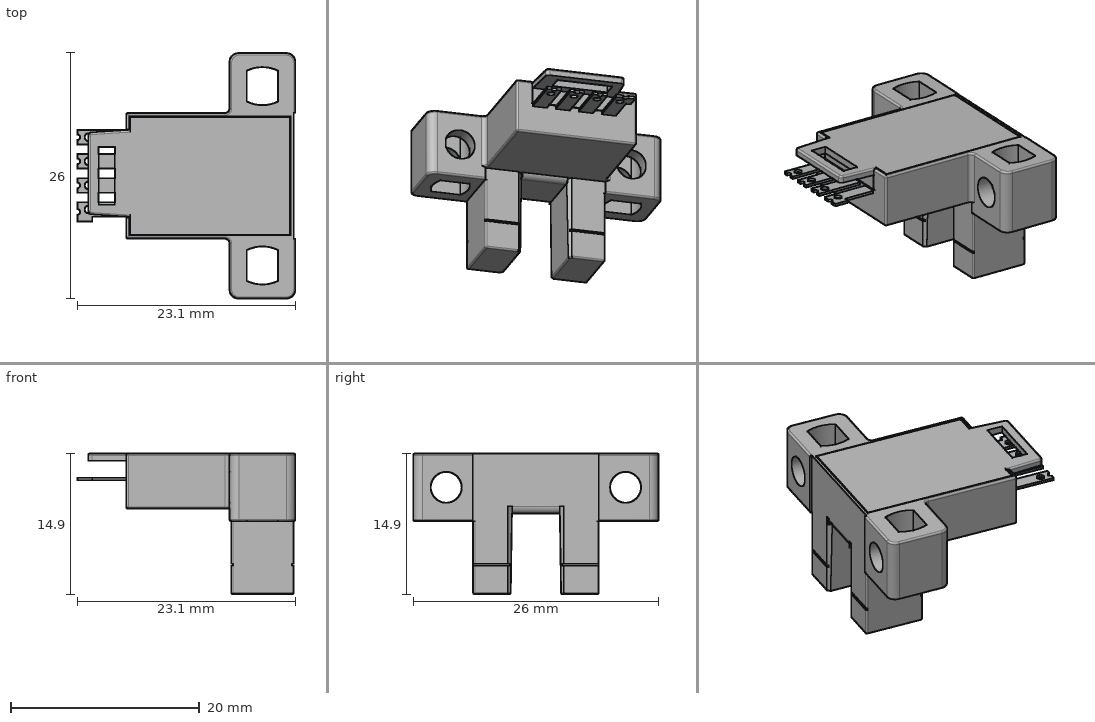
import cadquery as cq
import math


total_length = 23.1
total_width = 26.0
total_height = 14.9
edge_radius = 0.2

ear_length = 7.0
ear_height = 7.18
ear_corner_radius = 1.0
ear_start_x = total_length - ear_length
ear_center_x = total_length - ear_length / 2

body_start_x = 5.17
body_half_width = 6.65
body_height = 5.85
body_ear_fillet = 0.5
body_ear_overlap = 0.52

hole_center_y = 9.5
hole_width = 3.28
hole_length = 4.0
hole_flat_length = 3.25
cross_hole_diameter = 3.25

leg_inset = 0.18
leg_start_x = ear_start_x + leg_inset
leg_end_x = total_length - leg_inset
leg_length = leg_end_x - leg_start_x
leg_edge_radius = 0.18
slot_ceiling_z = -6.37
slot_half_width_top = 2.52
slot_half_width_bottom = 2.65
slot_mouth_half_width = 2.96
slot_ceiling_radius = 0.75
leg_groove_z = -11.78
leg_groove_width = 0.18
leg_groove_depth = leg_edge_radius

cover_start_x = 5.6
cover_end_x = 22.5
cover_half_width = 6.21
cover_thickness = 0.78
cover_gap = 0.08
tongue_height = 2.42
tongue_half_width = 4.6

row_center_y = 0.25
tab_start_x = 1.15
tab_tip_half_width = 4.32
tab_corner_radius = 0.4
window_start_x = 2.25
window_length = 1.72
window_width = 6.08

terminal_count = 4
terminal_pitch = 2.55
terminal_width = 1.55
terminal_top_z = -2.57
terminal_thickness = 0.29
terminal_embed = 0.52
terminal_hole_x = 1.2
terminal_hole_diameter = 0.8
tip_notch_radius = 0.29
flag_length = 1.59
flag_width = 0.52

pick_margin = 0.25


def box(x_min, x_max, y_min, y_max, z_min, z_max):
    size = (x_max - x_min, y_max - y_min, z_max - z_min)
    return cq.Workplane("XY").box(*size, centered=False).translate((x_min, y_min, z_min))


def make_body():
    """Main body; its sides flare into the ear faces with concave arcs."""
    flare_half_width = body_half_width + body_ear_fillet
    flare_start_x = ear_start_x - body_ear_fillet
    inner_x = ear_start_x + body_ear_overlap
    arc_offset = body_ear_fillet * math.sqrt(0.5)
    arc_x = flare_start_x + arc_offset
    arc_y = flare_half_width - arc_offset
    body = (
        cq.Workplane("XY")
        .moveTo(body_start_x, -body_half_width)
        .lineTo(flare_start_x, -body_half_width)
        .threePointArc((arc_x, -arc_y), (ear_start_x, -flare_half_width))
        .lineTo(inner_x, -flare_half_width)
        .lineTo(inner_x, flare_half_width)
        .lineTo(ear_start_x, flare_half_width)
        .threePointArc((arc_x, arc_y), (flare_start_x, body_half_width))
        .lineTo(body_start_x, body_half_width)
        .close()
        .extrude(-body_height)
    )
    body = body.faces("<X").edges("|Z").fillet(edge_radius)
    exposed = cq.selectors.BoxSelector(
        (body_start_x - pick_margin, -total_width, -total_height),
        (ear_start_x - edge_radius / 2, total_width, pick_margin),
    )
    rims = body.faces("|Z").edges(exposed)
    return rims.fillet(edge_radius)


def make_ear():
    """Ear on the +Y side, with its holes; its inner end stays square."""
    ear = box(ear_start_x, total_length, body_half_width, total_width / 2, -ear_height, 0)
    ear = ear.faces(">Y").edges("|Z").fillet(ear_corner_radius)
    ear = ear.faces("|Z").edges("not(<Y)").fillet(edge_radius)

    side_x = hole_width / 2
    mounting_hole = (
        cq.Workplane("XY")
        .center(ear_center_x, hole_center_y)
        .moveTo(-side_x, -hole_flat_length / 2)
        .threePointArc((0, -hole_length / 2), (side_x, -hole_flat_length / 2))
        .lineTo(side_x, hole_flat_length / 2)
        .threePointArc((0, hole_length / 2), (-side_x, hole_flat_length / 2))
        .close()
        .extrude(-ear_height)
    )
    cross_hole = (
        cq.Workplane("YZ", origin=(ear_start_x, hole_center_y, -ear_height / 2))
        .circle(cross_hole_diameter / 2)
        .extrude(ear_length)
    )
    return ear.cut(mounting_hole).cut(cross_hole)


def make_slot_chamfers():
    """Upright 45 degree wedges that open both mouths of the sensing slot."""
    wedge_size = slot_mouth_half_width - slot_half_width_top
    wedge = (
        cq.Workplane("XY", origin=(0, 0, -total_height))
        .moveTo(leg_start_x, slot_mouth_half_width)
        .lineTo(leg_start_x, slot_half_width_top)
        .lineTo(leg_start_x + wedge_size, slot_half_width_top)
        .close()
        .extrude(total_height + slot_ceiling_z + slot_ceiling_radius)
    )
    pair = wedge.union(wedge.mirror("XZ"))
    leg_center_x = (leg_start_x + leg_end_x) / 2
    return pair.union(pair.mirror("YZ", (leg_center_x, 0, 0)))


def make_legs():
    """Block carrying both legs, split by a slightly tapered sensing slot."""
    upper = box(leg_start_x, leg_end_x, -body_half_width, body_half_width, -ear_height, 0)
    lower = box(leg_start_x, leg_end_x, -body_half_width, body_half_width, -total_height, -ear_height)
    lower = lower.edges("|Z").fillet(leg_edge_radius)
    slot = (
        cq.Workplane("YZ", origin=(leg_start_x, 0, 0))
        .moveTo(-slot_half_width_bottom, -total_height)
        .lineTo(-slot_half_width_top, slot_ceiling_z)
        .lineTo(slot_half_width_top, slot_ceiling_z)
        .lineTo(slot_half_width_bottom, -total_height)
        .close()
        .extrude(leg_length)
    )
    legs = upper.union(lower).cut(slot)

    ceiling_center = cq.selectors.BoxSelector(
        (leg_start_x - pick_margin, -pick_margin, slot_ceiling_z - pick_margin),
        (leg_end_x + pick_margin, pick_margin, slot_ceiling_z + pick_margin),
    )
    legs = legs.faces("<X or >X").edges(ceiling_center).fillet(slot_ceiling_radius)
    legs = legs.cut(make_slot_chamfers())
    legs = legs.faces("<Z").edges().fillet(leg_edge_radius)

    for face_x in (leg_start_x, leg_end_x):
        groove = box(
            face_x - leg_groove_depth,
            face_x + leg_groove_depth,
            -body_half_width,
            body_half_width,
            leg_groove_z - leg_groove_width / 2,
            leg_groove_z + leg_groove_width / 2,
        )
        legs = legs.cut(groove)
    return legs


def cover_shape(gap, tongue_top_z):
    """Cover plate plus tongue, grown outward by a gap; the thickness stays."""
    plate = box(
        cover_start_x - gap,
        cover_end_x + gap,
        -cover_half_width - gap,
        cover_half_width + gap,
        -cover_thickness,
        0,
    )
    tongue_edge = tongue_half_width + gap
    tongue = box(
        body_start_x,
        cover_start_x,
        row_center_y - tongue_edge,
        row_center_y + tongue_edge,
        -tongue_height - gap,
        tongue_top_z,
    )
    return plate.union(tongue)


def make_tab():
    """Tapered overhanging end of the cover with a rectangular window."""
    tab = (
        cq.Workplane("XY", origin=(0, row_center_y, 0))
        .moveTo(cover_start_x, -tongue_half_width)
        .lineTo(cover_start_x, tongue_half_width)
        .lineTo(tab_start_x, tab_tip_half_width)
        .lineTo(tab_start_x, -tab_tip_half_width)
        .close()
        .extrude(-cover_thickness)
    )
    tab = tab.faces("<X").edges("|Z").fillet(tab_corner_radius)
    tab = tab.faces(">Z").edges("not(>X)").fillet(edge_radius)
    window = box(
        window_start_x,
        window_start_x + window_length,
        -window_width / 2,
        window_width / 2,
        -cover_thickness,
        0,
    )
    return tab.cut(window)


def make_terminal(center_y, flag):
    """Flat terminal with a solder hole and tip notch; the flag widens its tip."""
    bottom_z = terminal_top_z - terminal_thickness
    low_y = center_y - terminal_width / 2
    high_y = center_y + terminal_width / 2
    terminal = box(0, body_start_x + terminal_embed, low_y, high_y, bottom_z, terminal_top_z)
    if flag > 0:
        terminal = terminal.union(box(0, flag_length, low_y - flag, low_y, bottom_z, terminal_top_z))
    drills = (
        cq.Workplane("XY", origin=(0, 0, bottom_z))
        .moveTo(terminal_hole_x, center_y)
        .circle(terminal_hole_diameter / 2)
        .moveTo(0, center_y - flag / 2)
        .circle(tip_notch_radius)
        .extrude(terminal_thickness)
    )
    return terminal.cut(drills)


ear = make_ear()
housing = make_body().union(make_legs()).union(ear).union(ear.mirror("XZ"))

housing = housing.cut(cover_shape(cover_gap, 0))
result = housing.union(cover_shape(0, -cover_thickness)).union(make_tab())

for index in range(terminal_count):
    terminal_y = row_center_y + (index - (terminal_count - 1) / 2) * terminal_pitch
    result = result.union(make_terminal(terminal_y, flag_width if index == 0 else 0))